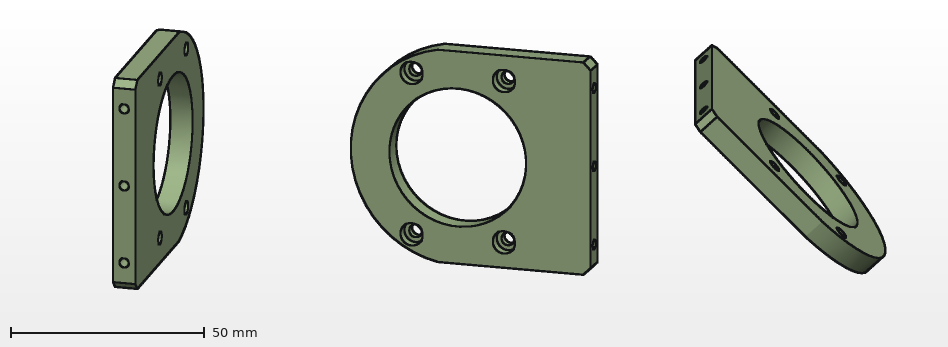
import cadquery as cq
import math

thickness = 6.0
height = 57.0
nose_radius = 29.0
bore_to_foot = 36.0
foot_chamfer = 2.0
bore_diameter = 37.0

screw_circle_radius = 25.0
screw_angles = (60, 120, 240, 300)
screw_hole_diameter = 3.4
counterbore_diameter = 6.0
counterbore_depth = 3.4

edge_hole_diameter = 2.5
edge_hole_spacing = 21.0
edge_hole_count = 3
edge_hole_depth = 8.0
drill_point_angle = 118.0


def plate():
    """Round-nosed plate, trimmed flat at top and bottom, with chamfered foot corners."""
    half_height = height / 2
    arc_start = math.sqrt(nose_radius**2 - half_height**2)
    body = (
        cq.Workplane("YZ")
        .moveTo(-bore_to_foot, -half_height)
        .lineTo(arc_start, -half_height)
        .threePointArc((nose_radius, 0), (arc_start, half_height))
        .lineTo(-bore_to_foot, half_height)
        .close()
        .extrude(thickness / 2, both=True)
    )
    return body.edges("|X and <Y").chamfer(foot_chamfer)


def cut_bore(body):
    return body.faces("<X").workplane(origin=(0, 0, 0)).hole(bore_diameter)


def cut_screw_holes(body):
    """Through holes counterbored from the -X face."""
    centres = [
        (
            screw_circle_radius * math.cos(math.radians(angle)),
            screw_circle_radius * math.sin(math.radians(angle)),
        )
        for angle in screw_angles
    ]
    return (
        body.faces("<X")
        .workplane(origin=(0, 0, 0))
        .pushPoints(centres)
        .cboreHole(screw_hole_diameter, counterbore_diameter, counterbore_depth)
    )


def edge_drill():
    """Drill shape along +Y from the foot edge, ending in a conical point."""
    radius = edge_hole_diameter / 2
    point_length = radius / math.tan(math.radians(drill_point_angle / 2))
    wall_end = edge_hole_depth - bore_to_foot
    return (
        cq.Workplane("XY")
        .moveTo(0, -bore_to_foot)
        .lineTo(radius, -bore_to_foot)
        .lineTo(radius, wall_end)
        .lineTo(0, wall_end + point_length)
        .close()
        .revolve(360, (0, 0, 0), (0, 1, 0))
    )


def cut_edge_holes(body):
    for index in range(edge_hole_count):
        offset = (index - (edge_hole_count - 1) / 2) * edge_hole_spacing
        body = body.cut(edge_drill().translate((0, 0, offset)))
    return body


result = cut_edge_holes(cut_screw_holes(cut_bore(plate())))